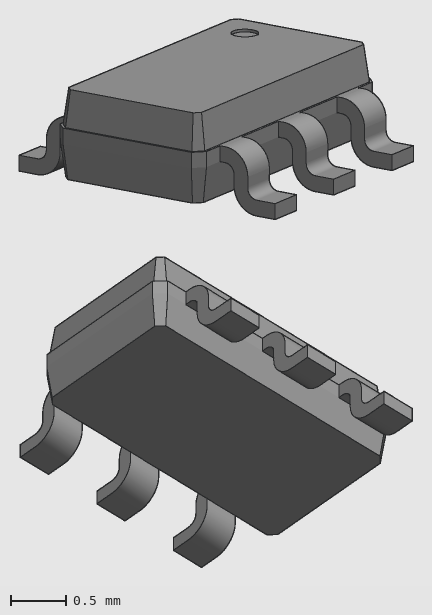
import cadquery as cq
import math

BODY_WIDTH = 1.6
BODY_LENGTH = 2.9
BELT_CHAMFER = 0.1
UPPER_CHAMFER = 0.085
STANDOFF = 0.105
TOP_Z = 0.95
BELT_TOP_Z = 0.6
DRAFT_ANGLE = 8.0
UPPER_STEP = 0.025

LEAD_SPAN = 2.8
LEAD_THICKNESS = 0.15
LEAD_WIDTH = 0.35
LEAD_PITCH = 0.95
LEADS_PER_SIDE = 3
FOOT_LENGTH = 0.2
INNER_BEND_RADIUS = 0.1
OUTER_BEND_RADIUS = INNER_BEND_RADIUS + LEAD_THICKNESS
LEAD_EMBED = 0.145

MARK_DIAMETER = 0.25
MARK_DEPTH = 0.025
MARK_EDGE_DISTANCE = 0.35

BELT_BOTTOM_Z = BELT_TOP_Z - LEAD_THICKNESS


def body_section(start_z, end_z, chamfer, inset=0.0, draft=0.0):
    """Extrude the body outline, with chamfered corners and sides moved in by inset."""
    half_x = BODY_WIDTH / 2 - inset
    half_y = BODY_LENGTH / 2 - inset
    outline = [
        (half_x, half_y - chamfer),
        (half_x - chamfer, half_y),
        (chamfer - half_x, half_y),
        (-half_x, half_y - chamfer),
        (-half_x, chamfer - half_y),
        (chamfer - half_x, -half_y),
        (half_x - chamfer, -half_y),
        (half_x, chamfer - half_y),
    ]
    section = cq.Workplane("XY", origin=(0, 0, start_z)).polyline(outline).close()
    return section.extrude(end_z - start_z, taper=draft)


def make_body():
    belt = body_section(BELT_BOTTOM_Z, BELT_TOP_Z, BELT_CHAMFER)
    upper = body_section(BELT_TOP_Z, TOP_Z, UPPER_CHAMFER, inset=UPPER_STEP, draft=DRAFT_ANGLE)
    mirrored_end_z = 2 * BELT_BOTTOM_Z - STANDOFF
    lower = body_section(BELT_BOTTOM_Z, mirrored_end_z, BELT_CHAMFER, draft=DRAFT_ANGLE)
    lower = lower.mirror("XY", (0, 0, BELT_BOTTOM_Z))
    return belt.union(upper).union(lower)


def make_left_lead(y):
    """S-shaped lead on the -X side, centred on y."""
    tip_x = -LEAD_SPAN / 2
    foot_end_x = tip_x + FOOT_LENGTH
    shank_outer_x = foot_end_x + INNER_BEND_RADIUS
    shank_inner_x = shank_outer_x + LEAD_THICKNESS
    shoulder_x = shank_outer_x + OUTER_BEND_RADIUS
    root_x = -BODY_WIDTH / 2 + LEAD_EMBED
    shank_bottom_z = OUTER_BEND_RADIUS
    shank_top_z = BELT_TOP_Z - OUTER_BEND_RADIUS
    profile = (
        cq.Workplane("XZ", origin=(0, y, 0))
        .moveTo(tip_x, 0)
        .lineTo(foot_end_x, 0)
        .radiusArc((shank_inner_x, shank_bottom_z), -OUTER_BEND_RADIUS)
        .lineTo(shank_inner_x, shank_top_z)
        .radiusArc((shoulder_x, BELT_BOTTOM_Z), INNER_BEND_RADIUS)
        .lineTo(root_x, BELT_BOTTOM_Z)
        .lineTo(root_x, BELT_TOP_Z)
        .lineTo(shoulder_x, BELT_TOP_Z)
        .radiusArc((shank_outer_x, shank_top_z), -OUTER_BEND_RADIUS)
        .lineTo(shank_outer_x, shank_bottom_z)
        .radiusArc((foot_end_x, LEAD_THICKNESS), INNER_BEND_RADIUS)
        .lineTo(tip_x, LEAD_THICKNESS)
        .close()
    )
    return profile.extrude(LEAD_WIDTH / 2, both=True)


def make_pin_mark():
    """Shallow round recess in the top face, near its -X, +Y corner."""
    draft_inset = (TOP_Z - BELT_TOP_Z) * math.tan(math.radians(DRAFT_ANGLE))
    edge_offset = UPPER_STEP + draft_inset + MARK_EDGE_DISTANCE
    center = (edge_offset - BODY_WIDTH / 2, BODY_LENGTH / 2 - edge_offset, TOP_Z)
    return cq.Workplane("XY", origin=center).circle(MARK_DIAMETER / 2).extrude(-MARK_DEPTH)


result = make_body()
for index in range(LEADS_PER_SIDE):
    lead_y = (index - (LEADS_PER_SIDE - 1) / 2) * LEAD_PITCH
    left_lead = make_left_lead(lead_y)
    result = result.union(left_lead).union(left_lead.mirror("YZ"))
result = result.cut(make_pin_mark())